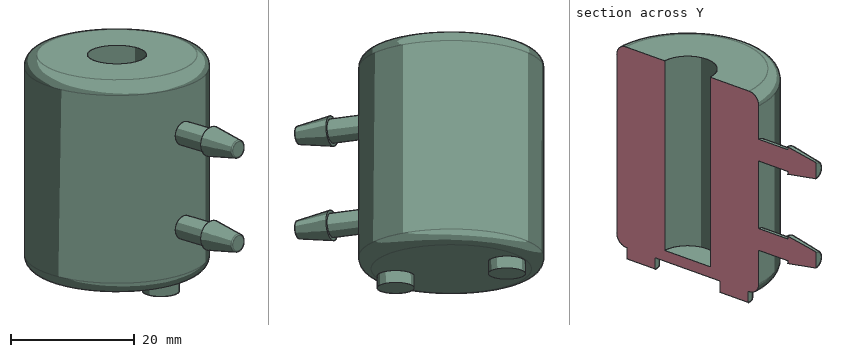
import cadquery as cq

body_diameter = 30.0
body_height = 36.0
edge_radius = 2.0

well_diameter = 9.55
well_floor = 2.0
well_depth = body_height - well_floor

foot_diameter = 6.0
foot_height = 2.0
foot_offset = 9.8

overall_length = 42.0
barb_heights = (10.0, 26.0)
stem_diameter = 4.0
cone_base_diameter = 5.0
cone_tip_diameter = 3.0
cone_length = 6.0
tip_rounding = 0.2

body_radius = body_diameter / 2
barb_tip_x = overall_length - body_radius


def make_body():
    """Cylinder with rounded rims."""
    cylinder = cq.Workplane("XY").circle(body_radius).extrude(body_height)
    return cylinder.edges("%CIRCLE").fillet(edge_radius)


def make_feet():
    """Two round feet on the X axis, overlapping into the body."""
    return (
        cq.Workplane("XY", origin=(0, 0, -foot_height))
        .pushPoints([(-foot_offset, 0), (foot_offset, 0)])
        .circle(foot_diameter / 2)
        .extrude(foot_height + edge_radius)
    )


def make_barb(height):
    """Hose barb along +X: a straight stem, then a shouldered cone with a rounded tip."""
    stem_start = body_radius - edge_radius
    cone_start = barb_tip_x - cone_length
    profile = [
        (stem_start, 0),
        (stem_start, stem_diameter / 2),
        (cone_start, stem_diameter / 2),
        (cone_start, cone_base_diameter / 2),
        (barb_tip_x, cone_tip_diameter / 2),
        (barb_tip_x, 0),
    ]
    barb = cq.Workplane("XZ").polyline(profile).close().revolve(axisStart=(0, 0, 0), axisEnd=(1, 0, 0))
    barb = barb.faces(">X").edges().fillet(tip_rounding)
    return barb.translate((0, 0, height))


result = make_body().union(make_feet())
for barb_height in barb_heights:
    result = result.union(make_barb(barb_height))

result = result.faces(">Z").workplane(origin=(0, 0, 0)).hole(well_diameter, well_depth)